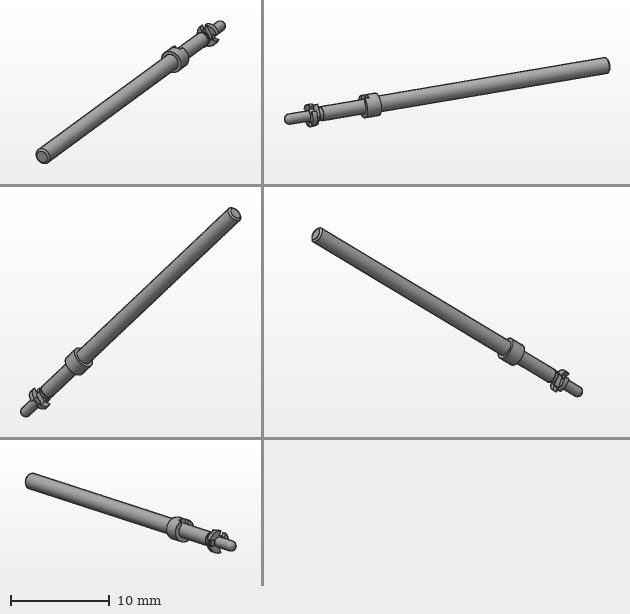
import cadquery as cq
import math

length = 35.6

disc_start = 2.6
disc_thickness = 0.5
rhombus_thickness = 0.55
neck_length = 0.35
collar_start = 8.6
collar_length = 1.53

plunger_radius = 0.55
neck_radius = 0.65
barrel_radius = 1.45 / 2
collar_radius = 2.3 / 2
rod_radius = 0.82

tip_rounding = 0.5
end_chamfer_length = 0.18
end_chamfer_depth = 0.2

slot_count = 3
slot_width = 0.68
slot_floor_radius = 0.65
rhombus_half_height = 1.1
rhombus_half_angle = 30
rhombus_half_width = rhombus_half_height * math.tan(math.radians(rhombus_half_angle))

keyway_width = 0.82
keyway_length = 0.45

rhombus_start = disc_start + disc_thickness
neck_start = rhombus_start + rhombus_thickness
barrel_start = neck_start + neck_length
rod_start = collar_start + collar_length


def section_plane(start):
    """Plane facing the rod end, at a distance behind the tip; local x is X and local y is Z."""
    return cq.Workplane(cq.Plane((0, length - start, 0), (1, 0, 0), (0, -1, 0)))


def cylinder(start, end, radius):
    return section_plane(start).circle(radius).extrude(end - start)


def make_plunger():
    plunger = cylinder(0, neck_start, plunger_radius)
    return plunger.faces(">Y").edges().fillet(tip_rounding)


def make_slotted_disc():
    disc = cylinder(disc_start, rhombus_start, collar_radius)
    slot = (
        section_plane(disc_start)
        .center(slot_floor_radius + collar_radius / 2, 0)
        .rect(collar_radius, slot_width)
        .extrude(disc_thickness)
    )
    for index in range(slot_count):
        disc = disc.cut(slot.rotate((0, 0, 0), (0, 1, 0), index * 360 / slot_count))
    return disc


def make_rhombus():
    corners = [
        (rhombus_half_width, 0),
        (0, rhombus_half_height),
        (-rhombus_half_width, 0),
        (0, -rhombus_half_height),
    ]
    return section_plane(rhombus_start).polyline(corners).close().extrude(rhombus_thickness)


def make_collar():
    """Collar whose keyway is cut down to the barrel surface once the barrel fills its middle."""
    keyway = (
        section_plane(collar_start)
        .center(0, collar_radius / 2)
        .rect(keyway_width, collar_radius)
        .extrude(keyway_length)
    )
    return cylinder(collar_start, rod_start, collar_radius).cut(keyway)


def make_rod():
    """Rod with a chamfered rim at its free end."""
    rod = cylinder(rod_start, length, rod_radius)
    return rod.faces("<Y").chamfer(end_chamfer_length, end_chamfer_depth)


result = (
    make_plunger()
    .union(make_slotted_disc())
    .union(make_rhombus())
    .union(cylinder(neck_start, barrel_start, neck_radius))
    .union(cylinder(barrel_start, rod_start, barrel_radius))
    .union(make_collar())
    .union(make_rod())
)